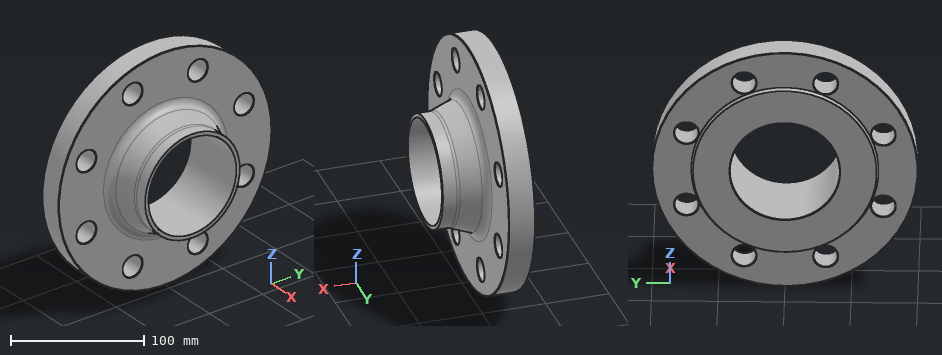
import cadquery as cq
import math

flange_diameter = 200.0
flange_back = 24.0
edge_chamfer = 0.5

face_height = 3.0
face_diameter = 138.0
face_base_diameter = 140.8

total_length = 58.0
bore_diameter = 82.5
pipe_diameter = 89.0
neck_base_diameter = 105.0
neck_angle = 20.0
neck_root_radius = 8.0
pipe_blend_radius = 7.0

selection_margin = 0.2

bolt_count = 8
bolt_circle_diameter = 160.0
bolt_hole_diameter = 18.0
bolt_pitch_angle = 360.0 / bolt_count

neck_taper_length = (neck_base_diameter - pipe_diameter) / 2 / math.tan(math.radians(neck_angle))
pipe_start = flange_back + neck_taper_length


def make_disc():
    """Flange disc with both outer edges chamfered."""
    return (
        cq.Workplane("YZ", origin=(face_height, 0, 0))
        .circle(flange_diameter / 2)
        .extrude(flange_back - face_height)
        .edges()
        .chamfer(edge_chamfer)
    )


def make_hub():
    """Solid of revolution holding the raised face, tapered neck and pipe end."""
    return (
        cq.Workplane("XY")
        .moveTo(0, 0)
        .lineTo(0, face_diameter / 2)
        .lineTo(face_height, face_base_diameter / 2)
        .lineTo(face_height, neck_base_diameter / 2)
        .lineTo(flange_back, neck_base_diameter / 2)
        .lineTo(pipe_start, pipe_diameter / 2)
        .lineTo(total_length, pipe_diameter / 2)
        .lineTo(total_length, 0)
        .close()
        .revolve(360, (0, 0, 0), (1, 0, 0))
    )


def blend_neck(body):
    """Round the neck into the disc and into the straight pipe end."""
    for position, diameter, radius in (
        (flange_back, neck_base_diameter, neck_root_radius),
        (pipe_start, pipe_diameter, pipe_blend_radius),
    ):
        body = body.edges(circle_at(position, diameter)).fillet(radius)
    return body


def circle_at(position, diameter):
    """Select the circular edges around X no larger than a diameter, at one position."""
    half = diameter / 2 + selection_margin
    return cq.selectors.BoxSelector(
        (position - selection_margin, -half, -half),
        (position + selection_margin, half, half),
        boundingbox=True,
    )


def make_hole_cutter(start, end, diameter):
    """Cylinder along X with a conical widening at its start."""
    radius = diameter / 2
    wide_radius = radius + edge_chamfer
    return (
        cq.Workplane("XY")
        .moveTo(start, 0)
        .lineTo(start, wide_radius)
        .lineTo(start + edge_chamfer, radius)
        .lineTo(end, radius)
        .lineTo(end, 0)
        .close()
        .revolve(360, (0, 0, 0), (1, 0, 0))
    )


def cut_bolt_holes(body):
    """Drill the ring of bolt holes, chamfered on both faces of the disc."""
    disc_middle = (face_height + flange_back) / 2
    front_half = make_hole_cutter(face_height, disc_middle, bolt_hole_diameter)
    back_half = front_half.mirror("YZ", (disc_middle, 0, 0))
    cutter = front_half.union(back_half).translate((0, bolt_circle_diameter / 2, 0))
    for index in range(bolt_count):
        angle = (index + 0.5) * bolt_pitch_angle
        body = body.cut(cutter.rotate((0, 0, 0), (1, 0, 0), angle))
    return body


def cut_bore(body):
    """Open the bore through the whole length, chamfered at the sealing face."""
    return body.cut(make_hole_cutter(0, total_length, bore_diameter))


result = cut_bore(cut_bolt_holes(blend_neck(make_disc().union(make_hub()))))